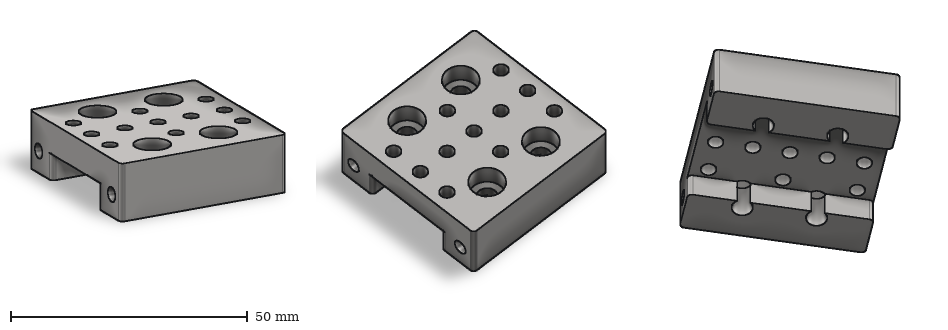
import cadquery as cq
import math

side = 40
height = 13.0
edge_radius = 1.0

channel_width = 20.55
channel_depth = 6

pitch = 8
small_hole_diameter = 3.3
bolt_hole_diameter = 4.5
counterbore_diameter = 8
counterbore_depth = 4.6
bolt_spacing_x = 3 * pitch
bolt_spacing_y = 2 * pitch

end_hole_diameter = 3.3
end_hole_depth = 10
end_hole_spacing = 4 * pitch
end_hole_height = 5.0
drill_point_angle = 118


def make_body():
    """Block with a channel underneath and every vertical edge rounded."""
    block = cq.Workplane("XY").box(side, side, height, centered=(True, True, False))
    channel = cq.Workplane("XY").box(
        channel_width, side, channel_depth, centered=(True, True, False)
    )
    return block.cut(channel).edges("|Z").fillet(edge_radius)


def small_hole_points():
    """Three across in the outer and middle rows, one on centre in the rows between."""
    points = []
    for row in range(-2, 3):
        columns = (-1, 0, 1) if row % 2 == 0 else (0,)
        for column in columns:
            points.append((column * pitch, row * pitch))
    return points


def cut_top_holes(body):
    """Plain through holes and counterbored bolt holes, all from the top."""
    top = cq.Workplane("XY", origin=(0, 0, height))
    small_holes = top.pushPoints(small_hole_points()).circle(small_hole_diameter / 2).extrude(-height)
    bolt_pattern = top.rarray(bolt_spacing_x, bolt_spacing_y, 2, 2)
    bolt_holes = bolt_pattern.circle(bolt_hole_diameter / 2).extrude(-height)
    bolt_pattern = top.rarray(bolt_spacing_x, bolt_spacing_y, 2, 2)
    counterbores = bolt_pattern.circle(counterbore_diameter / 2).extrude(-counterbore_depth)
    return body.cut(small_holes).cut(bolt_holes).cut(counterbores)


def cut_end_holes(body):
    """Blind holes with conical drill points, in both legs at the -Y and +Y ends."""
    radius = end_hole_diameter / 2
    point_length = radius / math.tan(math.radians(drill_point_angle / 2))
    drill = (
        cq.Workplane("XY")
        .moveTo(0, 0)
        .lineTo(radius, 0)
        .lineTo(radius, end_hole_depth)
        .lineTo(0, end_hole_depth + point_length)
        .close()
        .revolve(360, (0, 0, 0), (0, 1, 0))
    )
    for x in (-end_hole_spacing / 2, end_hole_spacing / 2):
        front_drill = drill.translate((x, -side / 2, end_hole_height))
        body = body.cut(front_drill).cut(front_drill.mirror("XZ"))
    return body


result = cut_end_holes(cut_top_holes(make_body()))